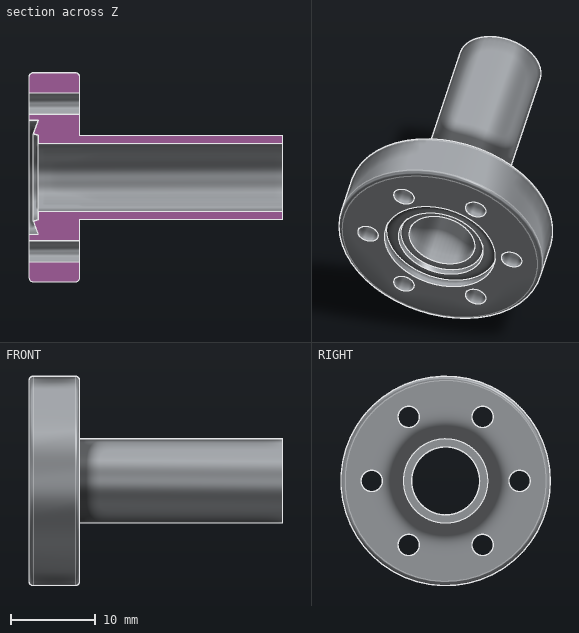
import cadquery as cq
import math

total_length = 30.0
flange_diameter = 24.8
flange_thickness = 6.0
rim_fillet = 0.5
tube_diameter = 10.0
bore_diameter = 8.0

recess_diameter = 13.5
recess_depth = 1.08
knife_diameter = 10.32
knife_slope = 20.0

bolt_count = 6
bolt_circle_diameter = 17.5
bolt_hole_diameter = 2.5


def cylinder(diameter, length):
    """Solid cylinder along +X, starting at the sealing face."""
    return cq.Workplane("YZ").circle(diameter / 2).extrude(length)


def sealing_recess():
    """Ring cut around the knife edge, plus the shallow well inside it."""
    recess_radius = recess_diameter / 2
    knife_radius = knife_diameter / 2
    knife_rise = (recess_radius - knife_radius) * math.tan(math.radians(knife_slope))
    tip_depth = recess_depth - knife_rise
    return (
        cq.Workplane("XY")
        .moveTo(0, 0)
        .lineTo(0, recess_radius)
        .lineTo(recess_depth, recess_radius)
        .lineTo(tip_depth, knife_radius)
        .lineTo(recess_depth, tube_diameter / 2)
        .lineTo(recess_depth, 0)
        .close()
        .revolve(360, (0, 0, 0), (1, 0, 0))
    )


def bolt_holes():
    """Through holes evenly spaced on the bolt circle, the first on the Y axis."""
    return (
        cq.Workplane("YZ")
        .polarArray(bolt_circle_diameter / 2, 0, 360, bolt_count)
        .circle(bolt_hole_diameter / 2)
        .extrude(flange_thickness)
    )


flange = cylinder(flange_diameter, flange_thickness).edges().fillet(rim_fillet)
body = flange.union(cylinder(tube_diameter, total_length))
body = body.cut(cylinder(bore_diameter, total_length))
result = body.cut(sealing_recess()).cut(bolt_holes())